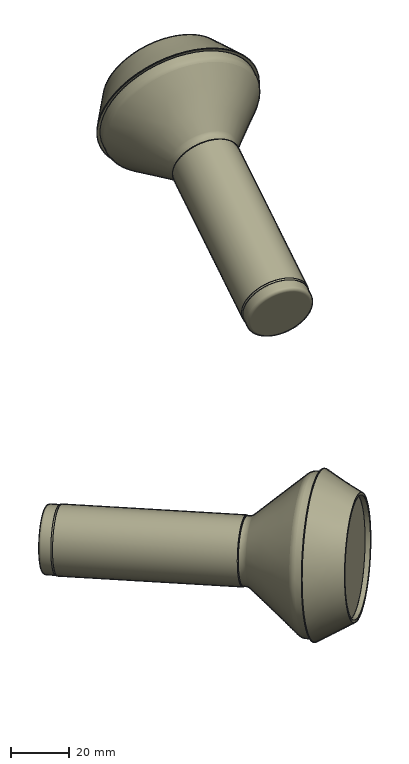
import cadquery as cq
import math

total_length = 110.0

head_length = 13.6
rim_land_length = 0.3
head_front_radius = 22.5
head_rim_radius = 30.08
recess_radius = 21.7
recess_depth = 1.9

collar_radius = 28.98
cone_start = 17.4
neck_start = 37.5
blend_radius = 3.1
neck_radius = 12.26
shank_radius = 12.48
shank_start = 39.8
shank_end = 105.5
shoulder_bevel_length = 0.3
tail_bevel_length = 0.7
tail_fillet = 1.2


def make_head():
    """Flared head with a narrow rim land and a shallow round recess in its front face."""
    profile = (
        cq.Workplane("XY")
        .moveTo(recess_depth, 0)
        .lineTo(head_length, 0)
        .lineTo(head_length, head_rim_radius)
        .lineTo(head_length - rim_land_length, head_rim_radius)
        .lineTo(0, head_front_radius)
        .lineTo(0, recess_radius)
        .lineTo(recess_depth, recess_radius)
        .close()
    )
    return profile.revolve(360, (0, 0, 0), (1, 0, 0))


def make_holder():
    """Collar, tapering cone, relieved neck and cylindrical shank with a reduced tail."""
    cone_angle = math.atan2(collar_radius - neck_radius, neck_start - cone_start)
    tangent_length = blend_radius * math.tan(cone_angle / 2)
    along = tangent_length * math.cos(cone_angle)
    inward = tangent_length * math.sin(cone_angle)
    profile = (
        cq.Workplane("XY")
        .moveTo(head_length, 0)
        .lineTo(head_length, collar_radius)
        .lineTo(cone_start - tangent_length, collar_radius)
        .tangentArcPoint((cone_start + along, collar_radius - inward), relative=False)
        .lineTo(neck_start - along, neck_radius + inward)
        .tangentArcPoint((neck_start + tangent_length, neck_radius), relative=False)
        .lineTo(shank_start - shoulder_bevel_length, neck_radius)
        .lineTo(shank_start, shank_radius)
        .lineTo(shank_end - tail_bevel_length, shank_radius)
        .lineTo(shank_end, neck_radius)
        .lineTo(total_length - tail_fillet, neck_radius)
        .tangentArcPoint((total_length, neck_radius - tail_fillet), relative=False)
        .lineTo(total_length, 0)
        .close()
    )
    return profile.revolve(360, (0, 0, 0), (1, 0, 0))


head = make_head()
holder = make_holder()

result = cq.Compound.makeCompound([head.val(), holder.val()])